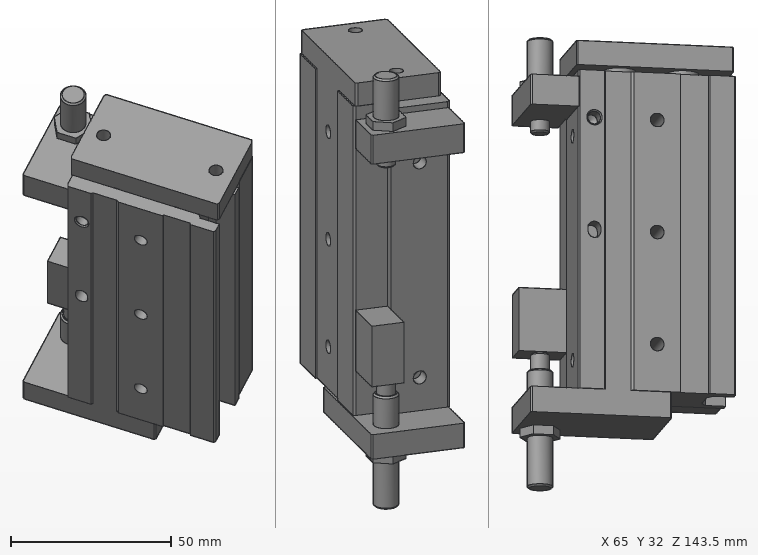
import cadquery as cq
import math


TOTAL_WIDTH = 65.0
TOTAL_DEPTH = 32.0
TOTAL_LENGTH = 143.5

HOUSING_LEFT = 15.0
HOUSING_DEPTH = 19.7
HOUSING_BOTTOM = 27.1
HOUSING_TOP = 129.0
HOUSING_WIDTH = TOTAL_WIDTH - HOUSING_LEFT
CENTER_X = HOUSING_LEFT + HOUSING_WIDTH / 2
CENTER_Z = (HOUSING_BOTTOM + HOUSING_TOP) / 2
BORE_Y = 10.0
EDGE_CHAMFER_X = 0.5
EDGE_CHAMFER_Y = 0.9

PAD_HALF_WIDTH = 5.2
CHANNEL_OUTER = 11.7
CHANNEL_DEPTH = 0.5
LEFT_PAD_SLOPE = 0.6
OUTER_SLOPE = 0.3

GROOVE_HEIGHT = 12.9
GROOVE_SHOULDER = 6.5
GROOVE_DEPTH = 8.0
GROOVE_BEVEL = 2.3

MOUNT_DIAMETER = 4.3
MOUNT_PITCH = 35.9
DOWEL_DIAMETER = 4.0
DOWEL_OFFSET = 5.0
DOWEL_DEPTH = 5.7
DOWEL_RIM = 0.5
DRILL_POINT_ANGLE = 118.0
SLOT_LENGTH = 5.2
PORT_DIAMETER = 4.3
PORT_DEPTH = 5.0
PORT_BORE_DIAMETER = 1.5
PORT_BORE_DEPTH = 2.9
PORT_PITCH = 71.8
LOWER_PORT_Z = 38.2

BRACKET_BACK = 31.4
BRACKET_CHAMFER = 0.5
UPPER_BRACKET_RIGHT = 15.8
UPPER_BRACKET_BOTTOM = 117.4
UPPER_BRACKET_HEIGHT = 9.6
UPPER_BRACKET_TOP = UPPER_BRACKET_BOTTOM + UPPER_BRACKET_HEIGHT
LOWER_BRACKET_RIGHT = 44.8
LOWER_BRACKET_HEIGHT = 8.2
LOWER_BRACKET_BOTTOM = HOUSING_BOTTOM - LOWER_BRACKET_HEIGHT
TABLE_CLEARANCE = 0.5

SCREW_X = 7.5
SCREW_Y = 24.0
SCREW_DIAMETER = 8.0
NOSE_DIAMETER = 6.0
SCREW_CHAMFER = 0.6
UPPER_NOSE_BOTTOM = 113.5
LOWER_SCREW_TOP = 37.6
NUT_FLATS = 11.0
NUT_HEIGHT = 2.9
HEX_SIDES = 6

TABLE_INSET = 0.1
TABLE_LEFT = HOUSING_LEFT + TABLE_INSET
TABLE_RIGHT = TOTAL_WIDTH - TABLE_INSET
TABLE_FRONT = 20.7
TABLE_BOTTOM = 28.1
BACK_RECESS_WIDTH = 20.4
BACK_RECESS_DEPTH = 0.6
RIB_WIDTH = 35.9

BLOCK_LEFT = 0.1
BLOCK_BACK = 31.3
BLOCK_BOTTOM = 43.0
BLOCK_HEIGHT = 20.2

END_PLATE_FRONT = 3.0
END_PLATE_BACK = 31.4
END_PLATE_BOTTOM = 131.3
END_PLATE_HEIGHT = 7.7
END_HOLE_SPACING = 37.9
END_HOLE_Y = 15.6
ROD_DIAMETER = 10.0
ROD_SPACING = 20.1


def box(x0, x1, y0, y1, z0, z1):
    """Box between two opposite corners."""
    return cq.Workplane("XY").box(x1 - x0, y1 - y0, z1 - z0, centered=False).translate((x0, y0, z0))


def cylinder(x, y, diameter, z0, z1):
    """Upright cylinder."""
    return cq.Workplane("XY", origin=(x, y, z0)).circle(diameter / 2).extrude(z1 - z0)


def prism(points, z0, z1):
    """Upright prism over an XY outline."""
    return cq.Workplane("XY", origin=(0, 0, z0)).polyline(points).close().extrude(z1 - z0)


def bevelled_box(x0, x1, y0, y1, z0, z1, front=True, back=True):
    """Box whose upright front and back edges are bevelled where asked."""
    body = box(x0, x1, y0, y1, z0, z1)
    for y, inward, wanted in ((y0, 1, front), (y1, -1, back)):
        if not wanted:
            continue
        for x, inner_x in ((x0, x0 + EDGE_CHAMFER_X), (x1, x1 - EDGE_CHAMFER_X)):
            body = body.cut(prism([(x, y), (inner_x, y), (x, y + inward * EDGE_CHAMFER_Y)], z0, z1))
    return body


def mounting_holes():
    """Row of three holes running right through both bodies along Y."""
    return (
        cq.Workplane("XZ", origin=(CENTER_X, 0, CENTER_Z))
        .pushPoints([(0, step * MOUNT_PITCH) for step in (-1, 0, 1)])
        .circle(MOUNT_DIAMETER / 2)
        .extrude(-TOTAL_DEPTH)
    )


def front_channel(side, pad_slope):
    """Front-face channel on one side (-1 or +1) of the centre pad.

    pad_slope is the width of the sloped wall next to the pad; zero makes that wall square.
    """
    outline = [
        (CENTER_X + side * PAD_HALF_WIDTH, 0),
        (CENTER_X + side * (PAD_HALF_WIDTH + pad_slope), CHANNEL_DEPTH),
        (CENTER_X + side * (CHANNEL_OUTER - OUTER_SLOPE), CHANNEL_DEPTH),
        (CENTER_X + side * CHANNEL_OUTER, 0),
    ]
    return prism(outline, HOUSING_BOTTOM, HOUSING_TOP)


def sensor_groove():
    """Full-length groove in the +X side with bevelled inner corners."""
    half = GROOVE_HEIGHT / 2
    shoulder_x = TOTAL_WIDTH - GROOVE_SHOULDER
    floor_x = TOTAL_WIDTH - GROOVE_DEPTH
    outline = [
        (TOTAL_WIDTH, BORE_Y - half),
        (shoulder_x, BORE_Y - half),
        (floor_x, BORE_Y - half + GROOVE_BEVEL),
        (floor_x, BORE_Y + half - GROOVE_BEVEL),
        (shoulder_x, BORE_Y + half),
        (TOTAL_WIDTH, BORE_Y + half),
    ]
    return prism(outline, HOUSING_BOTTOM, HOUSING_TOP)


def dowel_hole():
    """Blind hole in the front face with a chamfered rim and a drill point."""
    radius = DOWEL_DIAMETER / 2
    point_depth = DOWEL_DEPTH + radius / math.tan(math.radians(DRILL_POINT_ANGLE / 2))
    profile = [
        (0, 0),
        (radius + DOWEL_RIM, 0),
        (radius, DOWEL_RIM),
        (radius, DOWEL_DEPTH),
        (0, point_depth),
    ]
    hole = cq.Workplane("XY").polyline(profile).close().revolve(360, (0, 0, 0), (0, 1, 0))
    return hole.translate((HOUSING_LEFT + DOWEL_OFFSET, 0, CENTER_Z + MOUNT_PITCH))


def dowel_slot():
    """Blind upright slot in the front face, below the dowel hole."""
    return (
        cq.Workplane("XZ", origin=(HOUSING_LEFT + DOWEL_OFFSET, 0, CENTER_Z))
        .slot2D(SLOT_LENGTH, DOWEL_DIAMETER, 90)
        .extrude(-DOWEL_DEPTH)
    )


def air_port(z):
    """Stepped air port in the -X side of the housing."""
    plane = cq.Workplane("YZ", origin=(HOUSING_LEFT, BORE_Y, z))
    bore = plane.circle(PORT_BORE_DIAMETER / 2).extrude(PORT_DEPTH + PORT_BORE_DEPTH)
    return plane.circle(PORT_DIAMETER / 2).extrude(PORT_DEPTH).union(bore)


def housing_block():
    block = bevelled_box(
        HOUSING_LEFT, TOTAL_WIDTH, 0, HOUSING_DEPTH, HOUSING_BOTTOM, HOUSING_TOP, back=False
    )
    block = block.cut(front_channel(-1.5, LEFT_PAD_SLOPE)).cut(front_channel(1.5, 0))
    for step in (0, 1):
        block = block.cut(air_port(LOWER_PORT_Z + step * PORT_PITCH))
    return block.cut(sensor_groove()).cut(dowel_hole()).cut(dowel_slot()).cut(mounting_holes())


def bracket(right, bottom, top):
    """Stop bracket whose front is level with the channel floors."""
    plate = box(0, right, CHANNEL_DEPTH, BRACKET_BACK, bottom, top)
    return plate.edges("|Z").chamfer(BRACKET_CHAMFER)


def upper_bracket():
    """Upper bracket, cut back behind the housing to clear the moving table."""
    clearance_left = HOUSING_LEFT - TABLE_CLEARANCE
    clearance = box(
        clearance_left, UPPER_BRACKET_RIGHT, HOUSING_DEPTH, TOTAL_DEPTH,
        UPPER_BRACKET_BOTTOM, UPPER_BRACKET_TOP,
    )
    return bracket(UPPER_BRACKET_RIGHT, UPPER_BRACKET_BOTTOM, UPPER_BRACKET_TOP).cut(clearance)


def lock_nut(z):
    across_corners = NUT_FLATS / math.cos(math.pi / HEX_SIDES)
    nut = cq.Workplane("XY", origin=(SCREW_X, SCREW_Y, z))
    return nut.polygon(HEX_SIDES, across_corners).extrude(NUT_HEIGHT)


def upper_screw():
    shank = cylinder(SCREW_X, SCREW_Y, SCREW_DIAMETER, UPPER_BRACKET_BOTTOM, TOTAL_LENGTH)
    shank = shank.faces(">Z").chamfer(SCREW_CHAMFER)
    nose = cylinder(SCREW_X, SCREW_Y, NOSE_DIAMETER, UPPER_NOSE_BOTTOM, UPPER_BRACKET_BOTTOM)
    return shank.union(nose.faces("<Z").chamfer(SCREW_CHAMFER))


def lower_screw():
    """Screw through the lower bracket; its nose meets the table's stop block."""
    shank = cylinder(SCREW_X, SCREW_Y, SCREW_DIAMETER, 0, LOWER_SCREW_TOP)
    shank = shank.faces("<Z or >Z").chamfer(SCREW_CHAMFER)
    nose = cylinder(SCREW_X, SCREW_Y, NOSE_DIAMETER, LOWER_SCREW_TOP, BLOCK_BOTTOM)
    return shank.union(nose.faces(">Z").chamfer(SCREW_CHAMFER))


def make_housing():
    body = housing_block().union(upper_bracket())
    body = body.union(bracket(LOWER_BRACKET_RIGHT, LOWER_BRACKET_BOTTOM, HOUSING_BOTTOM))
    body = body.union(upper_screw()).union(lock_nut(UPPER_BRACKET_TOP))
    return body.union(lower_screw()).union(lock_nut(LOWER_BRACKET_BOTTOM - NUT_HEIGHT))


def table_plate():
    """Plate with a wide recess in its back and a guide rib against the housing."""
    plate = bevelled_box(
        TABLE_LEFT, TABLE_RIGHT, TABLE_FRONT, TOTAL_DEPTH, TABLE_BOTTOM, END_PLATE_BOTTOM, front=False
    )
    recess = box(
        CENTER_X - BACK_RECESS_WIDTH / 2, CENTER_X + BACK_RECESS_WIDTH / 2,
        TOTAL_DEPTH - BACK_RECESS_DEPTH, TOTAL_DEPTH,
        TABLE_BOTTOM, END_PLATE_BOTTOM,
    )
    rib = box(
        CENTER_X - RIB_WIDTH / 2, CENTER_X + RIB_WIDTH / 2,
        HOUSING_DEPTH, TABLE_FRONT,
        TABLE_BOTTOM, END_PLATE_BOTTOM,
    )
    return plate.cut(recess).union(rib).cut(mounting_holes())


def stop_block():
    return box(
        BLOCK_LEFT, TABLE_LEFT, TABLE_FRONT, BLOCK_BACK,
        BLOCK_BOTTOM, BLOCK_BOTTOM + BLOCK_HEIGHT,
    )


def end_plate():
    top = END_PLATE_BOTTOM + END_PLATE_HEIGHT
    plate = bevelled_box(HOUSING_LEFT, TOTAL_WIDTH, END_PLATE_FRONT, END_PLATE_BACK, END_PLATE_BOTTOM, top)
    for side in (-1, 1):
        x = CENTER_X + side * END_HOLE_SPACING / 2
        plate = plate.cut(cylinder(x, END_HOLE_Y, MOUNT_DIAMETER, END_PLATE_BOTTOM, top))
    return plate


def piston_rod(x):
    """Exposed rod between the housing and the end plate."""
    return cylinder(x, BORE_Y, ROD_DIAMETER, HOUSING_TOP, END_PLATE_BOTTOM)


def make_table():
    body = table_plate().union(stop_block()).union(end_plate())
    for side in (-1, 1):
        body = body.union(piston_rod(CENTER_X + side * ROD_SPACING / 2))
    return body


housing = make_housing()
table = make_table()

result = cq.Compound.makeCompound([housing.val(), table.val()])